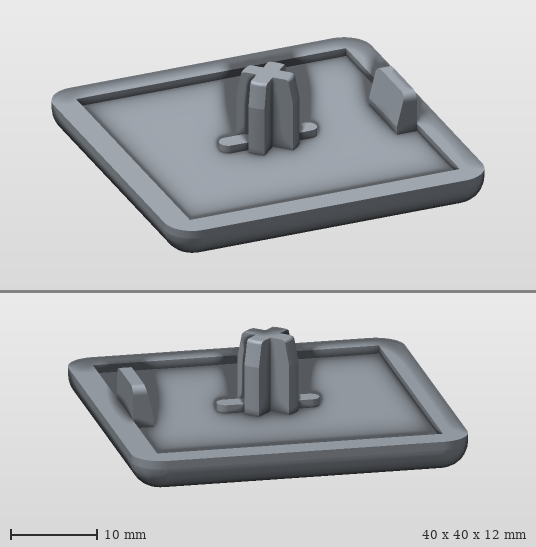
import cadquery as cq

plate_side = 40.0
plate_thickness = 4.0
plate_corner_radius = 3.5
plate_bottom_fillet = 3.0
rim_width = 3.0
pocket_depth = 1.0
pocket_side = plate_side - 2 * rim_width

post_height = 8.0
post_radius = 3.7
post_tip_radius = 3.1
post_taper_start = 5.0
post_tip_fillet = 0.5
arm_width = 2.0
arm_angles = (45, 135)

rib_length = 12.2
rib_width = 2.2

tab_width = 8.3
tab_height = 4.0
tab_base_depth = 2.5
tab_top_depth = 1.5
tab_corner_fillet = 1.0


def make_plate():
    plate = (
        cq.Workplane("XY")
        .workplane(offset=-plate_thickness)
        .rect(plate_side, plate_side)
        .extrude(plate_thickness)
        .edges("|Z").fillet(plate_corner_radius)
        .faces("<Z").edges().fillet(plate_bottom_fillet)
    )
    pocket = (
        cq.Workplane("XY")
        .rect(pocket_side, pocket_side)
        .extrude(-pocket_depth)
    )
    return plate.cut(pocket)


def make_post():
    envelope = (
        cq.Workplane("XZ")
        .moveTo(0, -pocket_depth)
        .lineTo(post_radius, -pocket_depth)
        .lineTo(post_radius, post_taper_start)
        .lineTo(post_tip_radius, post_height)
        .lineTo(0, post_height)
        .close()
        .revolve(360, (0, 0), (0, 1))
        .faces(">Z").edges().fillet(post_tip_fillet)
    )
    cross = cq.Workplane("XY")
    for angle in arm_angles:
        arm = (
            cq.Workplane("XY")
            .workplane(offset=-pocket_depth)
            .rect(2 * post_radius, arm_width)
            .extrude(pocket_depth + post_height)
            .rotate((0, 0, 0), (0, 0, 1), angle)
        )
        cross = cross.add(arm)
    return envelope.intersect(cross.combine())


def make_rib():
    return cq.Workplane("XY").slot2D(rib_length, rib_width, 90).extrude(-pocket_depth)


def make_tab():
    wall_y = pocket_side / 2
    base_y = wall_y - tab_base_depth
    return (
        cq.Workplane("YZ")
        .moveTo(wall_y, -pocket_depth)
        .lineTo(base_y, -pocket_depth)
        .lineTo(base_y, 0)
        .lineTo(wall_y - tab_top_depth, tab_height)
        .lineTo(wall_y, tab_height)
        .close()
        .extrude(tab_width / 2, both=True)
        .faces(">Z").edges("|Y").fillet(tab_corner_fillet)
    )


result = make_plate().union(make_rib()).union(make_post()).union(make_tab())